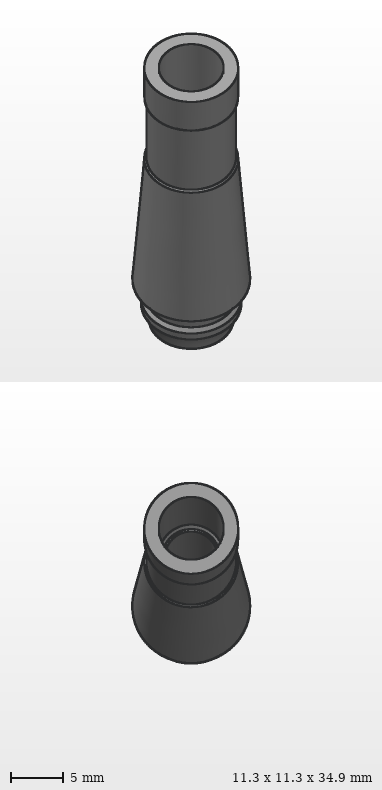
import cadquery as cq
import math

total_height = 34.9
collar_height = 4.0
taper_top_z = 22.23
taper_base_z = 5.5
groove_bottom_z = 3.35
rim_top_z = 2.93
rim_bottom_z = 2.1

collar_radius = 4.5
neck_radius = 4.3
taper_base_radius = 5.65
groove_radius = 4.4
rim_radius = 4.8
nose_middle_radius = 4.35
nose_end_radius = 4.1
undercut_angle = 30.0

socket_radius = 3.1
seat_radius = 2.75
through_radius = 2.5
socket_depth = 10.47
seat_angle = 45.0

collar_bottom_z = total_height - collar_height
shoulder_height = collar_radius - neck_radius
undercut_slope = math.tan(math.radians(undercut_angle))
undercut_height = (taper_base_radius - groove_radius) * undercut_slope
collar_undercut_height = shoulder_height * undercut_slope
seat_height = (socket_radius - seat_radius) * math.tan(math.radians(seat_angle))
socket_bottom_z = total_height - socket_depth
seat_z = socket_bottom_z - seat_height


def outer_body():
    """Solid of revolution about Z: barbed nose, tapered body, neck and collar."""
    half_profile = (
        cq.Workplane("XZ")
        .moveTo(0, 0)
        .lineTo(nose_end_radius, 0)
        .threePointArc((nose_middle_radius, rim_bottom_z / 2), (rim_radius, rim_bottom_z))
        .lineTo(rim_radius, rim_top_z)
        .lineTo(groove_radius, groove_bottom_z)
        .lineTo(groove_radius, taper_base_z - undercut_height)
        .lineTo(taper_base_radius, taper_base_z)
        .lineTo(collar_radius, taper_top_z)
        .lineTo(neck_radius, taper_top_z + shoulder_height)
        .lineTo(neck_radius, collar_bottom_z - collar_undercut_height)
        .lineTo(collar_radius, collar_bottom_z)
        .lineTo(collar_radius, total_height)
        .lineTo(0, total_height)
        .close()
    )
    return half_profile.revolve(360, (0, 0, 0), (0, 1, 0))


def stepped_bore():
    """Straight socket from the top, conical step, flat seat and through hole."""
    half_profile = (
        cq.Workplane("XZ")
        .moveTo(0, 0)
        .lineTo(through_radius, 0)
        .lineTo(through_radius, seat_z)
        .lineTo(seat_radius, seat_z)
        .lineTo(socket_radius, socket_bottom_z)
        .lineTo(socket_radius, total_height)
        .lineTo(0, total_height)
        .close()
    )
    return half_profile.revolve(360, (0, 0, 0), (0, 1, 0))


result = outer_body().cut(stepped_bore())